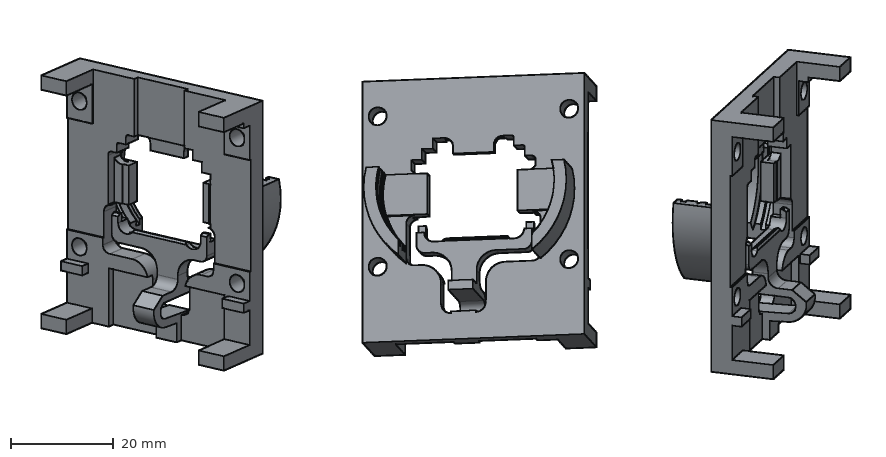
import cadquery as cq
import math


width = 44.0
height = 52.0
half_width = width / 2
plate_depth = 4.0
raised_depth = 4.35
recess_depth = 2.8
lower_raised_top = 18.0

post_width = 6.1
post_height = 2.95
post_reach = 12.9
pad_bottom = 40.9
hole_radius = 1.75
hole_x = 19.0
hole_heights = (15.05, 45.0)
lug_width = 5.15
lug_bottom = 10.1
lug_top = 12.0
lug_reach = 6.35
corner_rib_height = 1.0

top_groove_width = 12.05
lower_recess_left = -11.9
lower_recess_right = 15.9
lower_recess_top = 12.0

window_top = 40.15
step_tops = (window_top, 38.1, 36.0)
step_half_widths = (8.0, 10.2, 12.3)
step_radii = (0.45, 0.45, 0.9)
side_tab_bottom = 24.9
side_tab_top = 33.0
side_tab_inner_x = 8.95
side_strip_inner_x = 10.4
side_tab_depth = 1.75
side_strip_depth = 2.0
shelf_thickness = 1.0
shelf_outer_x = 19.5
side_corner_rise = 1.0
top_tab_half_width = 4.05
top_tab_bottom = 36.95
top_tab_depth = 1.4
top_tab_fillet = 1.75

slot_half_width = 13.3
slot_bottom = 15.05
slot_corner_radius = 1.55
neck_width = 8.9
neck_bottom = 5.2
neck_corner_radius = 2.05
neck_fillet = 3.85

stem_x = 2.0
stem_width = 4.95
stem_bottom = 9.25
stem_back_reach = 2.95
stem_back_top = 11.1
latch_half_width = 11.45
latch_bottom = 17.6
latch_corner_radius = 1.55
latch_fillet = 3.9
arm_top = 23.35
arm_width = 1.5
arm_slope_drop = 0.4
arm_slope_run = 0.75
arm_ledge_z = 21.65
ridge_top = 20.95
ridge_half_width = 6.05
ridge_slope_drop = 0.55
ridge_slope_run = 0.3
ridge_back_drop = 0.5
latch_thickness = 3.3
latch_lip = 1.25
scallop_bottom = 19.75
arm_inner_x = latch_half_width - arm_width
scallop_radius = (arm_inner_x - ridge_half_width) / 2
scallop_middle = arm_inner_x - scallop_radius

hook_straight = 8.15
hook_reach = 11.9
hook_nose_z = 8.75
hook_shoulder = 9.0
hook_top = 10.85
hook_fillet = 2.05
hook_inner_reach = 9.7
hook_inner_middle = 7.6
hook_arm_top = 5.95
hook_arm_bottom = 4.15
hook_root_top = 5.55
hook_root_bottom = 3.95

grip_reach = 8.7
grip_top = side_tab_top
grip_outer_x = 20.05
grip_outer_radius = 17.15
grip_inner_radius = 14.75
grip_center_x = grip_outer_x - grip_outer_radius
grip_center_z = 29.05
grip_inner_x = 13.25
ring_groove_depth = 0.8
ring_groove_width = 1.05
ring_groove_centers = (2.05, 7.25)
v_groove_center = 4.15
v_groove_half_width = 0.45
v_groove_depth = 1.0


def block(x0, x1, y0, y1, z0, z1):
    """Box given by its limits on each axis."""
    return cq.Workplane("XY").box(x1 - x0, y1 - y0, z1 - z0, centered=False).translate((x0, y0, z0))


def front_sketch(front_y):
    """Workplane parallel to the plate: local x is X, local y is Z, extrusion goes toward +Y."""
    return cq.Workplane("XZ", origin=(0, front_y, 0))


def prism(sketch, length):
    """Extrude a closed front outline backwards, toward +Y."""
    return sketch.close().extrude(-length)


def mirrored(solid):
    """The solid together with its mirror image across X = 0."""
    return solid.union(solid.mirror("YZ"))


def make_plate():
    plate = block(-half_width, half_width, -plate_depth, 0, 0, height)
    plate = plate.union(block(-half_width, half_width, -raised_depth, 0, 0, lower_raised_top))
    pad = block(-half_width, post_width - half_width, -raised_depth, 0, pad_bottom, height)
    plate = plate.union(mirrored(pad))
    groove = block(-top_groove_width / 2, top_groove_width / 2,
                   -plate_depth, -recess_depth, window_top, height)
    recess = block(lower_recess_left, lower_recess_right,
                   -raised_depth, -recess_depth, 0, lower_recess_top)
    return plate.cut(groove).cut(recess)


def make_screw_holes():
    centers = [(side * hole_x, z) for side in (-1, 1) for z in hole_heights]
    holes = front_sketch(-raised_depth).pushPoints(centers).circle(hole_radius)
    return holes.extrude(-raised_depth)


def make_front_details():
    inner_x = half_width - post_width
    posts = block(inner_x, half_width, -post_reach, 0, 0, post_height)
    posts = posts.union(block(inner_x, half_width, -post_reach, 0, height - post_height, height))
    lug = block(half_width - lug_width, half_width, -lug_reach, 0, lug_bottom, lug_top)
    rib_top = height - post_height
    rib = block(inner_x, half_width, -lug_reach, 0, rib_top - corner_rib_height, rib_top)
    return mirrored(posts.union(lug)).union(rib)


def make_window():
    """Stepped opening; the upper left corner of each step is rounded."""
    window = cq.Workplane("XY")
    for half, top, radius in zip(step_half_widths, step_tops, step_radii):
        step = block(-half, half, -raised_depth, 0, side_tab_bottom, top)
        window = window.add(step.edges("|Y and <X and >Z").fillet(radius))
    return window.combine(clean=True)


def make_slot():
    body = block(-slot_half_width, slot_half_width, -raised_depth, 0, slot_bottom, side_tab_bottom)
    body = body.edges("|Y").fillet(slot_corner_radius)
    left = stem_x - neck_width / 2
    right = stem_x + neck_width / 2
    neck = block(left, right, -raised_depth, 0, neck_bottom, slot_bottom)
    neck = neck.edges("|Y and <Z").fillet(neck_corner_radius)
    flare = flared_joint(left, right, slot_bottom, neck_fillet, raised_depth, raised_depth)
    return body.union(neck).union(flare)


def flared_joint(left, right, top, radius, front_depth, thickness):
    """Piece that widens upward from a stem to a crossbar through two concave arcs."""
    sketch = (
        front_sketch(-front_depth)
        .moveTo(left, top - radius)
        .radiusArc((left - radius, top), -radius)
        .lineTo(right + radius, top)
        .radiusArc((right, top - radius), -radius)
    )
    return prism(sketch, thickness)


def make_window_tabs():
    """Tabs that reach into the window, each with rounded corners at its root."""
    outer_x = step_half_widths[-1]
    corner_run = outer_x - side_strip_inner_x
    corner_radius = (corner_run ** 2 + side_corner_rise ** 2) / (2 * side_corner_rise)
    strip_sketch = (
        front_sketch(-side_strip_depth)
        .moveTo(side_strip_inner_x, side_tab_bottom)
        .lineTo(slot_half_width, side_tab_bottom)
        .lineTo(slot_half_width, side_tab_top + side_corner_rise)
        .lineTo(outer_x, side_tab_top + side_corner_rise)
        .radiusArc((side_strip_inner_x, side_tab_top), corner_radius)
    )
    side = prism(strip_sketch, side_strip_depth)
    side = side.union(block(side_tab_inner_x, side_strip_inner_x, -side_tab_depth, shelf_thickness,
                            side_tab_bottom, side_tab_top))
    side = side.union(block(side_tab_inner_x, shelf_outer_x, 0, shelf_thickness,
                            side_tab_bottom, side_tab_top))
    top = block(-top_tab_half_width, top_tab_half_width, -top_tab_depth, 0, top_tab_bottom, window_top)
    top = top.union(flared_joint(-top_tab_half_width, top_tab_half_width, window_top,
                                 top_tab_fillet, top_tab_depth, top_tab_depth))
    return mirrored(side).union(top)


def along_latch(points):
    """Bar across the whole latch with the given (Y, Z) section."""
    section = cq.Workplane("YZ", origin=(-latch_half_width, 0, 0)).polyline(points)
    return section.close().extrude(2 * latch_half_width)


def make_latch_relief():
    """Material removed from the latch head: ledges behind its front lip and bevels on the lip."""
    front_y = -plate_depth
    lip_back_y = latch_lip - plate_depth
    ledge = block(-arm_inner_x, arm_inner_x, lip_back_y, 0, scallop_bottom, arm_top)
    ledge = ledge.edges("|Y and <Z").fillet(scallop_radius)
    arm_ledges = block(-latch_half_width, latch_half_width, lip_back_y, 0, arm_ledge_z, arm_top)
    arm_bevel = along_latch([
        (front_y, arm_top - arm_slope_drop),
        (front_y + arm_slope_run, arm_top),
        (front_y, arm_top),
    ])
    ridge_y = front_y + ridge_slope_run
    ridge_bevels = along_latch([
        (front_y, ridge_top - ridge_slope_drop),
        (ridge_y, ridge_top),
        (lip_back_y, ridge_top - ridge_back_drop),
        (lip_back_y, arm_top),
        (front_y, arm_top),
    ])
    over_ridge = block(-scallop_middle, scallop_middle, front_y, 0, latch_bottom, arm_top)
    return ledge.union(arm_ledges).union(arm_bevel).union(ridge_bevels.intersect(over_ridge))


def make_latch():
    scallop_center_z = scallop_bottom + scallop_radius
    ridge_foot_z = ridge_top - ridge_slope_drop
    ridge_foot_x = scallop_middle - math.sqrt(scallop_radius ** 2 - (scallop_center_z - ridge_foot_z) ** 2)
    front_edge_z = latch_bottom + latch_corner_radius
    sketch = (
        front_sketch(-plate_depth)
        .moveTo(-latch_half_width + latch_corner_radius, latch_bottom)
        .radiusArc((-latch_half_width, front_edge_z), latch_corner_radius)
        .lineTo(-latch_half_width, arm_top)
        .lineTo(-arm_inner_x, arm_top)
        .lineTo(-arm_inner_x, scallop_center_z)
        .threePointArc((-scallop_middle, scallop_bottom), (-ridge_foot_x, ridge_foot_z))
        .lineTo(-ridge_half_width, ridge_top)
        .lineTo(ridge_half_width, ridge_top)
        .lineTo(ridge_foot_x, ridge_foot_z)
        .threePointArc((scallop_middle, scallop_bottom), (arm_inner_x, scallop_center_z))
        .lineTo(arm_inner_x, arm_top)
        .lineTo(latch_half_width, arm_top)
        .lineTo(latch_half_width, front_edge_z)
        .radiusArc((latch_half_width - latch_corner_radius, latch_bottom), latch_corner_radius)
    )
    head = prism(sketch, latch_thickness).cut(make_latch_relief())
    left = stem_x - stem_width / 2
    right = stem_x + stem_width / 2
    stem = block(left, right, -plate_depth, latch_thickness - plate_depth, stem_bottom, latch_bottom)
    stub = block(left, right, -plate_depth, stem_back_reach, stem_bottom, stem_back_top)
    flare = flared_joint(left, right, latch_bottom, latch_fillet, plate_depth, latch_thickness)
    return head.union(stem).union(stub).union(flare)


def make_hook():
    """U-shaped spring that joins the latch stem to the lower edge of the plate."""
    stem_back_y = latch_thickness - plate_depth
    sketch = (
        cq.Workplane("YZ", origin=(stem_x - stem_width / 2, 0, 0))
        .moveTo(0, stem_bottom)
        .lineTo(-hook_straight, stem_bottom)
        .threePointArc((-hook_inner_reach, hook_inner_middle), (-hook_straight, hook_arm_top))
        .lineTo(0, hook_root_top)
        .lineTo(0, hook_root_bottom)
        .lineTo(-raised_depth, hook_root_bottom)
        .lineTo(-hook_straight, hook_arm_bottom)
        .tangentArcPoint((-hook_reach, hook_nose_z), relative=False)
        .lineTo(-hook_shoulder, hook_top)
        .lineTo(-plate_depth - hook_fillet, hook_top)
        .radiusArc((-plate_depth, hook_top + hook_fillet), -hook_fillet)
        .lineTo(stem_back_y, hook_top + hook_fillet)
        .lineTo(stem_back_y, stem_back_top)
        .lineTo(0, stem_back_top)
    )
    hook = sketch.close().extrude(stem_width)
    root = block(stem_x - stem_width / 2, stem_x + stem_width / 2, -raised_depth, 0, 0, neck_bottom)
    return hook.union(root)


def make_ring_groove(center_y):
    ring = (
        front_sketch(center_y - ring_groove_width / 2)
        .center(grip_center_x, grip_center_z)
        .circle(grip_inner_radius + ring_groove_depth)
    )
    return ring.extrude(-ring_groove_width)


def make_v_groove():
    """Double cone whose rim cuts the V groove into the inner face of a grip."""
    tip_radius = grip_inner_radius + v_groove_depth
    section = (
        cq.Workplane("XY", origin=(grip_center_x, 0, grip_center_z))
        .moveTo(0, v_groove_center - v_groove_half_width)
        .lineTo(grip_inner_radius, v_groove_center - v_groove_half_width)
        .lineTo(tip_radius, v_groove_center)
        .lineTo(grip_inner_radius, v_groove_center + v_groove_half_width)
        .lineTo(0, v_groove_center + v_groove_half_width)
    )
    return section.close().revolve(360, (0, 0, 0), (0, 1, 0))


def make_grip():
    sketch = (
        front_sketch(0)
        .center(grip_center_x, grip_center_z)
        .circle(grip_outer_radius)
        .circle(grip_inner_radius)
    )
    grip = sketch.extrude(-grip_reach)
    limits = block(grip_inner_x, half_width, 0, grip_reach, 0, grip_top)
    grip = grip.intersect(limits)
    for center in ring_groove_centers:
        grip = grip.cut(make_ring_groove(center))
    return grip.cut(make_v_groove())


result = make_plate().union(make_front_details())
result = result.cut(make_window()).cut(make_slot()).cut(make_screw_holes())
result = result.union(make_window_tabs()).union(make_latch()).union(make_hook())
result = result.union(mirrored(make_grip())).clean()